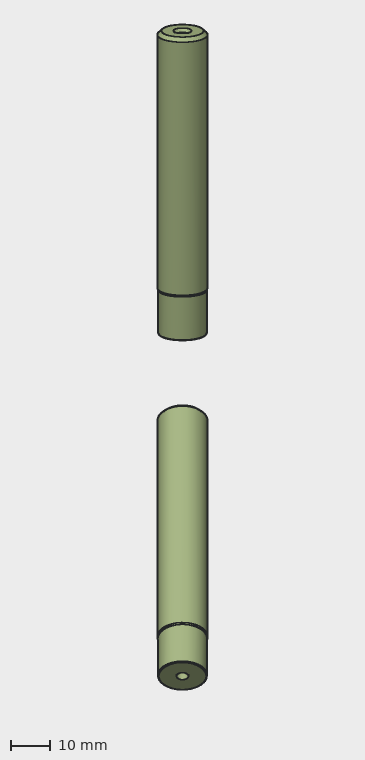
import cadquery as cq

length = 80.0
body_diameter = 12.7
top_chamfer = 1.0

spigot_diameter = 12.4
spigot_length = 11.6
shoulder_height = 0.5
spigot_chamfer = 0.2

bore_diameter = 3.0
mouth_diameter = 4.6
mouth_depth = 0.9

body_radius = body_diameter / 2
spigot_radius = spigot_diameter / 2
bore_radius = bore_diameter / 2
mouth_radius = mouth_diameter / 2

profile = (
    cq.Workplane("XZ")
    .moveTo(bore_radius, 0)
    .lineTo(spigot_radius - spigot_chamfer, 0)
    .lineTo(spigot_radius, spigot_chamfer)
    .lineTo(spigot_radius, spigot_length)
    .lineTo(body_radius, spigot_length + shoulder_height)
    .lineTo(body_radius, length - top_chamfer)
    .lineTo(body_radius - top_chamfer, length)
    .lineTo(mouth_radius, length)
    .lineTo(bore_radius, length - mouth_depth)
    .close()
)

result = profile.revolve(360, (0, 0, 0), (0, 1, 0))